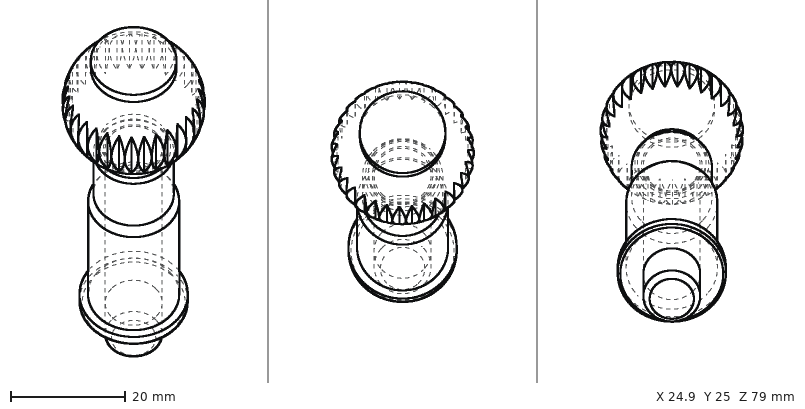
import cadquery as cq
import math

FULL_TURN = 360

PIN_RADIUS = 5.0
PIN_LENGTH_OUTSIDE = 10.0
PIN_TIP_CHAMFER = 1.1

FLANGE_RADIUS = 9.5
FLANGE_THICKNESS = 2.45
FLANGE_CHAMFER = 0.5
BARREL_RADIUS = 8.0
BARREL_TOP_Z = 39.0
TAPER_HEIGHT = 2.05
UPPER_BARREL_RADIUS = 7.0
SLEEVE_TOP_Z = 53.95
SLEEVE_TOP_CHAMFER_RADIAL = 0.55
SLEEVE_TOP_CHAMFER_HEIGHT = 0.95

TOTAL_HEIGHT = 79
BALL_RADIUS = 12.5
BALL_CENTRE_Z = 67.0
BOSS_RADIUS = 7.5
NECK_RADIUS = 6.0
NECK_CHAMFER = 0.7

GROOVE_COUNT = 33
GROOVE_ROOT_RADIUS = 11.45
GROOVE_OVERCUT = 0.8
GROOVE_HALF_ANGLE = 50

cutter_depth = BALL_RADIUS - GROOVE_ROOT_RADIUS + GROOVE_OVERCUT
cutter_half_width = cutter_depth * math.tan(math.radians(GROOVE_HALF_ANGLE))


def ball_height_at(radius):
    """Distance from the ball's middle plane to its surface at the given radius."""
    return math.sqrt(BALL_RADIUS**2 - radius**2)


def revolve_about_z(profile):
    """Turn a closed profile of (radius, z) in the XZ plane around the Z axis."""
    return profile.close().revolve(FULL_TURN, (0, 0, 0), (0, 1, 0))


def make_sleeve():
    """Flanged sleeve with a straight bore that fits the pin."""
    flange_bottom_z = PIN_LENGTH_OUTSIDE
    flange_top_z = flange_bottom_z + FLANGE_THICKNESS
    profile = (
        cq.Workplane("XZ")
        .moveTo(PIN_RADIUS, flange_bottom_z)
        .lineTo(FLANGE_RADIUS - FLANGE_CHAMFER, flange_bottom_z)
        .lineTo(FLANGE_RADIUS, flange_bottom_z + FLANGE_CHAMFER)
        .lineTo(FLANGE_RADIUS, flange_top_z)
        .lineTo(BARREL_RADIUS, flange_top_z)
        .lineTo(BARREL_RADIUS, BARREL_TOP_Z)
        .lineTo(UPPER_BARREL_RADIUS, BARREL_TOP_Z + TAPER_HEIGHT)
        .lineTo(UPPER_BARREL_RADIUS, SLEEVE_TOP_Z - SLEEVE_TOP_CHAMFER_HEIGHT)
        .lineTo(UPPER_BARREL_RADIUS - SLEEVE_TOP_CHAMFER_RADIAL, SLEEVE_TOP_Z)
        .lineTo(PIN_RADIUS, SLEEVE_TOP_Z)
    )
    return revolve_about_z(profile)


def make_groove_cutter(angle):
    """Vertical V-shaped wedge whose sharp edge lies on the groove root radius."""
    outer_radius = GROOVE_ROOT_RADIUS + cutter_depth
    return (
        cq.Workplane("XY", origin=(0, 0, BALL_CENTRE_Z))
        .moveTo(GROOVE_ROOT_RADIUS, 0)
        .lineTo(outer_radius, cutter_half_width)
        .lineTo(outer_radius, -cutter_half_width)
        .close()
        .extrude(BALL_RADIUS, both=True)
        .rotate((0, 0, 0), (0, 0, 1), angle)
    )


def make_knob_pin():
    """Knob with the pin that runs down through the sleeve; the neck rests on the sleeve top."""
    boss_base_z = BALL_CENTRE_Z + ball_height_at(BOSS_RADIUS)
    neck_top_z = BALL_CENTRE_Z - ball_height_at(NECK_RADIUS)
    profile = (
        cq.Workplane("XZ")
        .moveTo(0, 0)
        .lineTo(PIN_RADIUS - PIN_TIP_CHAMFER, 0)
        .lineTo(PIN_RADIUS, PIN_TIP_CHAMFER)
        .lineTo(PIN_RADIUS, SLEEVE_TOP_Z)
        .lineTo(NECK_RADIUS - NECK_CHAMFER, SLEEVE_TOP_Z)
        .lineTo(NECK_RADIUS, SLEEVE_TOP_Z + NECK_CHAMFER)
        .lineTo(NECK_RADIUS, neck_top_z)
        .threePointArc((BALL_RADIUS, BALL_CENTRE_Z), (BOSS_RADIUS, boss_base_z))
        .lineTo(BOSS_RADIUS, TOTAL_HEIGHT)
        .lineTo(0, TOTAL_HEIGHT)
    )
    knob_pin = revolve_about_z(profile)
    for index in range(GROOVE_COUNT):
        knob_pin = knob_pin.cut(make_groove_cutter(index * FULL_TURN / GROOVE_COUNT))
    return knob_pin


sleeve = make_sleeve()
knob_pin = make_knob_pin()

result = cq.Compound.makeCompound([sleeve.val(), knob_pin.solids().val()])